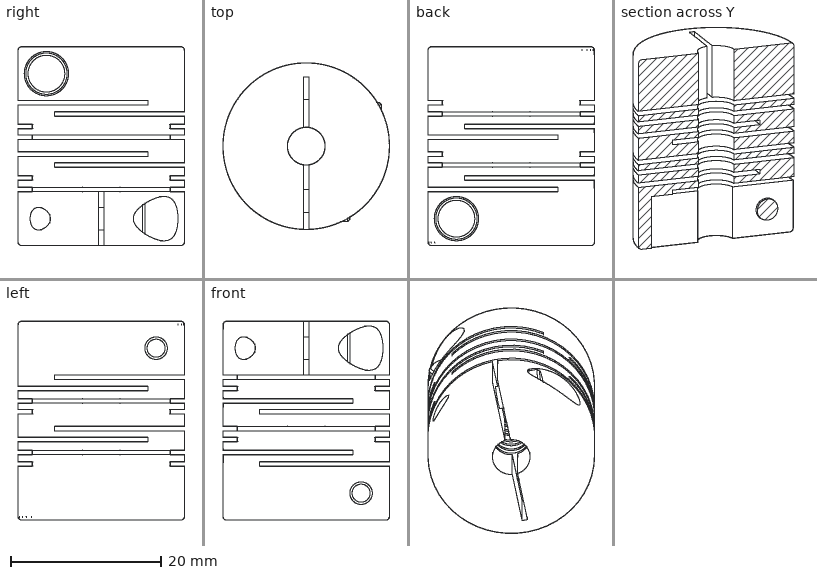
import cadquery as cq

BODY_DIAMETER = 22.2
BODY_LENGTH = 26.5
BORE_DIAMETER = 5.0
EDGE_FILLET = 0.5

SLIT_WIDTH = 0.57
SLIT_REACH = 6.2
SLITS = (
    (7.48, -90),
    (8.96, 90),
    (10.62, 180),
    (12.05, 0),
    (14.31, -90),
    (15.75, 90),
    (17.48, 180),
    (19.02, 0),
)

CLAMP_SLOT_WIDTH = 0.72
CLAMP_SLOT_REACH = 9.2
CLAMP_LENGTH = SLITS[0][0] - SLIT_WIDTH / 2

SCREW_OFFSET = 7.3
SCREW_DEPTH = 3.6
SCREW_DIAMETER = 3.0
SCREW_TIP = -6.8
SCREW_CHAMFER = 0.3
HEAD_DIAMETER = 5.5
HEAD_LENGTH = 3.0
HEAD_END = 5.8
HEAD_SEAT = HEAD_END - HEAD_LENGTH
COUNTERBORE_DIAMETER = 5.9

BODY_RADIUS = BODY_DIAMETER / 2
CUT_OUT = BODY_DIAMETER


def make_body():
    """Solid cylinder with rounded ends and a central bore."""
    body = cq.Workplane("XY").circle(BODY_RADIUS).extrude(BODY_LENGTH).edges().fillet(EDGE_FILLET)
    return body.cut(cq.Workplane("XY").circle(BORE_DIAMETER / 2).extrude(BODY_LENGTH))


def slit_cutter(depth, open_angle):
    """Thin horizontal slab, open towards the given angle about Z."""
    slab = cq.Workplane("XY").box(CUT_OUT + SLIT_REACH, BODY_DIAMETER, SLIT_WIDTH)
    slab = slab.translate(((CUT_OUT - SLIT_REACH) / 2, 0, BODY_LENGTH - depth))
    return slab.rotate((0, 0, 0), (0, 0, 1), open_angle)


def x_cylinder(diameter, start, end):
    """Cylinder on the top clamp's screw axis, from X = start to X = end."""
    axis_plane = cq.Plane(
        origin=(start, -SCREW_OFFSET, BODY_LENGTH - SCREW_DEPTH),
        xDir=(0, 1, 0),
        normal=(1, 0, 0),
    )
    return cq.Workplane(axis_plane).circle(diameter / 2).extrude(end - start)


def top_clamp_cutter():
    """Clamp slot open to -Y, screw hole and head counterbore."""
    slot = cq.Workplane("XY").box(
        CLAMP_SLOT_WIDTH, CUT_OUT + CLAMP_SLOT_REACH, CLAMP_LENGTH, centered=(True, False, False)
    )
    slot = slot.translate((0, -CUT_OUT, BODY_LENGTH - CLAMP_LENGTH))
    hole = x_cylinder(SCREW_DIAMETER, -BODY_RADIUS, HEAD_SEAT)
    counterbore = x_cylinder(COUNTERBORE_DIAMETER, HEAD_SEAT, BODY_RADIUS)
    return slot.union(hole).union(counterbore)


def top_clamp_screw():
    """Cap screw along X with its head on the +X side."""
    shank = x_cylinder(SCREW_DIAMETER, SCREW_TIP, HEAD_SEAT).faces("<X").chamfer(SCREW_CHAMFER)
    head = x_cylinder(HEAD_DIAMETER, HEAD_SEAT, HEAD_END).faces(">X").chamfer(SCREW_CHAMFER)
    return shank.union(head)


def to_bottom(shape):
    """Move a top clamp feature to the bottom clamp: mirrored end for end, a quarter turn on."""
    mirrored = shape.mirror("XY", (0, 0, BODY_LENGTH / 2))
    return mirrored.rotate((0, 0, 0), (0, 0, 1), 90)


result = make_body()

for slit_depth, slit_angle in SLITS:
    result = result.cut(slit_cutter(slit_depth, slit_angle))

clamp_cutter = top_clamp_cutter()
clamp_screw = top_clamp_screw()
result = result.cut(clamp_cutter).cut(to_bottom(clamp_cutter))
result = result.union(clamp_screw).union(to_bottom(clamp_screw))